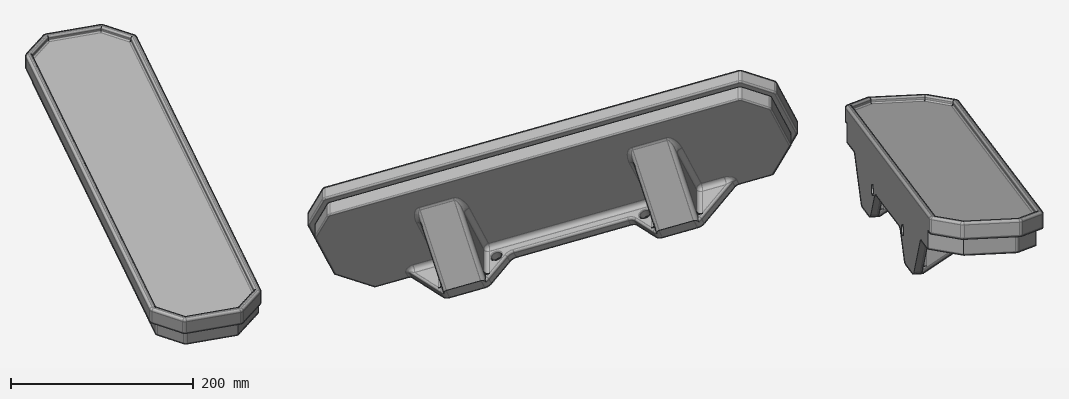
import cadquery as cq
import math

LENGTH = 550.0
WIDTH = 126.5
SLAB_HEIGHT = 20.0
SLAB_CORNER_CUT = 30.0
CORNER_RADIUS = 5.5
RIM_FILLET = 3.0
SLAB_UNDERSIDE_FILLET = 2.0

RIM_WIDTH = 5.0
RECESS_DEPTH = 6.0
RECESS_LIP_FILLET = 2.0
RECESS_FLOOR_FILLET = 1.5

BODY_INSET = 7.0
BODY_BOTTOM = 39.5
BODY_UNDERSIDE_FILLET = 1.5

HEIGHT = 90.0
PLATE_THICKNESS = 10.0
PLATE_BRIDGE_BOTTOM = 56.0
PLATE_FOOT_HALF_WIDTH = 25.5
PLATE_SIDE_RUN = 0.81
PLATE_CORNER_RADIUS = 10.0
PLATE_EDGE_FILLET = 3.0
RIB_SPACING = 249.5
RIB_WIDTH = 50.0
RIB_FOOT_DEPTH = 11.5
RIB_TOP_DEPTH = 92.5
RIB_FILLET = 5.0
JOINT_FILLET = 5.0
UNDER_FILLET = 6.0

HOLE_DIAMETER = 12.0
HOLE_MOUTH_FILLET = 1.0
HOLE_SPACING = 174.5
HOLE_DROP = 55.5

BACK = WIDTH / 2
FRONT = -WIDTH / 2
RIB_CENTRES = (-RIB_SPACING / 2, RIB_SPACING / 2)
OVERLAP = 5.5
BRACKET_TOP = OVERLAP - BODY_BOTTOM
JOINT_FOOT = -81.0
MARGIN = 0.05


def octagon(inset, bottom, height, back_inset=None):
    """Prism with 45-degree cut corners, offset inward from the slab outline."""
    back_inset = inset if back_inset is None else back_inset
    end = LENGTH / 2 - inset
    front = FRONT + inset
    back = BACK - back_inset
    diagonal = LENGTH / 2 + WIDTH / 2 - SLAB_CORNER_CUT - inset * math.sqrt(2)
    outline = [
        (-diagonal - front, front),
        (diagonal + front, front),
        (end, end - diagonal),
        (end, diagonal - end),
        (diagonal - back, back),
        (back - diagonal, back),
        (-end, diagonal - end),
        (-end, end - diagonal),
    ]
    return cq.Workplane("XY").workplane(offset=bottom).polyline(outline).close().extrude(height)


def make_slab():
    """Upper slab with rounded edges and a shallow tray recess."""
    slab = octagon(0, -SLAB_HEIGHT, SLAB_HEIGHT)
    slab = slab.edges("|Z").fillet(CORNER_RADIUS)
    slab = slab.faces(">Z").edges().fillet(RIM_FILLET)
    slab = slab.faces("<Z").edges().fillet(SLAB_UNDERSIDE_FILLET)
    recess = octagon(RIM_WIDTH + RECESS_LIP_FILLET, -RECESS_DEPTH, RECESS_DEPTH)
    recess = recess.faces("<Z").edges().fillet(RECESS_FLOOR_FILLET)
    slab = slab.cut(recess)
    inside_rim = cq.selectors.BoxSelector(
        (RIM_WIDTH - LENGTH / 2, FRONT + RIM_WIDTH, -MARGIN),
        (LENGTH / 2 - RIM_WIDTH, BACK - RIM_WIDTH, MARGIN),
        boundingbox=True,
    )
    return slab.edges(inside_rim).fillet(RECESS_LIP_FILLET)


def make_body():
    """Lower body, reaching up far enough to close the gap left by the slab's underside fillet."""
    top = SLAB_UNDERSIDE_FILLET - SLAB_HEIGHT
    body = octagon(BODY_INSET, -BODY_BOTTOM, BODY_BOTTOM + top, back_inset=0)
    front_half = cq.selectors.BoxSelector((-LENGTH, -WIDTH, -HEIGHT), (LENGTH, 0, 0))
    body = body.edges("|Z").edges(front_half).fillet(CORNER_RADIUS)
    return body.faces("<Z").edges("not >Y").fillet(BODY_UNDERSIDE_FILLET)


def make_plate_outline(depth):
    """Back plate outline with rounded corners, extruded forward from the back by depth."""
    foot_outer = RIB_SPACING / 2 + PLATE_FOOT_HALF_WIDTH
    foot_inner = RIB_SPACING / 2 - PLATE_FOOT_HALF_WIDTH
    top_outer = foot_outer + PLATE_SIDE_RUN * (HEIGHT + BRACKET_TOP)
    bridge_end = foot_inner - PLATE_SIDE_RUN * (HEIGHT - PLATE_BRIDGE_BOTTOM)
    right_side = [
        (bridge_end, -PLATE_BRIDGE_BOTTOM),
        (foot_inner, -HEIGHT),
        (foot_outer, -HEIGHT),
        (top_outer, BRACKET_TOP),
    ]
    left_side = [(-x, z) for x, z in reversed(right_side)]
    outline = cq.Workplane("XZ", origin=(0, BACK, 0)).polyline(left_side + right_side).close()
    return outline.extrude(depth).edges("|Y").edges("not >Z").fillet(PLATE_CORNER_RADIUS)


def make_plate():
    """Back plate with rounded front edges."""
    plate = make_plate_outline(PLATE_THICKNESS)
    return plate.faces("<Y").edges("not >Z").fillet(PLATE_EDGE_FILLET)


def make_rib(centre):
    """Triangular rib with rounded sloping edges."""
    run = (RIB_TOP_DEPTH - RIB_FOOT_DEPTH) / (HEIGHT - BODY_BOTTOM)
    profile = [
        (BACK, -HEIGHT),
        (BACK - RIB_FOOT_DEPTH, -HEIGHT),
        (BACK - RIB_TOP_DEPTH - run * OVERLAP, BRACKET_TOP),
        (BACK, BRACKET_TOP),
    ]
    rib = cq.Workplane("YZ", origin=(centre, 0, 0)).polyline(profile).close()
    rib = rib.extrude(RIB_WIDTH / 2, both=True)
    return rib.faces("<Y").edges("not |X").fillet(RIB_FILLET)


def make_joint(centre, side):
    """Concave fillet between the back plate and one side of a rib."""
    plate_front = BACK - PLATE_THICKNESS
    rib_side = centre + side * RIB_WIDTH / 2
    plate_middle = BACK - PLATE_THICKNESS / 2
    crest = plate_front - JOINT_FILLET
    toe = rib_side + side * JOINT_FILLET
    middle = JOINT_FILLET * (1 - math.sqrt(0.5))
    joint = (
        cq.Workplane("XY", origin=(0, 0, JOINT_FOOT))
        .moveTo(toe, plate_front)
        .threePointArc((rib_side + side * middle, plate_front - middle), (rib_side, crest))
        .lineTo(centre, crest)
        .lineTo(centre, plate_middle)
        .lineTo(toe, plate_middle)
        .close()
    )
    return joint.extrude(BRACKET_TOP - JOINT_FOOT)


def make_bracket():
    """Back plate and ribs, with the ribs trimmed to the plate outline."""
    bracket = make_plate()
    for centre in RIB_CENTRES:
        rib = make_rib(centre)
        for side in (-1, 1):
            rib = rib.union(make_joint(centre, side))
        bracket = bracket.union(rib.intersect(make_plate_outline(WIDTH)))
    return bracket


def blend_under_body(part):
    """Fillet the inside corner where the bracket meets the underside of the body."""
    plate_side = RIB_SPACING / 2 + PLATE_FOOT_HALF_WIDTH + PLATE_SIDE_RUN * (HEIGHT - BODY_BOTTOM)
    corner = cq.selectors.BoxSelector(
        (-plate_side - MARGIN, BACK - RIB_TOP_DEPTH - MARGIN, -BODY_BOTTOM - MARGIN),
        (plate_side + MARGIN, BACK - MARGIN, MARGIN - BODY_BOTTOM),
    )
    return part.edges(corner).fillet(UNDER_FILLET)


def drill_mounting_holes(part):
    """Through holes in the back plate with rounded mouths on the front."""
    plate_front = BACK - PLATE_THICKNESS
    positions = [(-HOLE_SPACING / 2, -HOLE_DROP), (HOLE_SPACING / 2, -HOLE_DROP)]
    holes = cq.Workplane("XZ", origin=(0, BACK, 0)).pushPoints(positions)
    part = part.cut(holes.circle(HOLE_DIAMETER / 2).extrude(PLATE_THICKNESS))
    for x, z in positions:
        mouth = cq.selectors.BoxSelector(
            (x - HOLE_DIAMETER, plate_front - MARGIN, z - HOLE_DIAMETER),
            (x + HOLE_DIAMETER, plate_front + MARGIN, z + HOLE_DIAMETER),
        )
        part = part.edges("%CIRCLE").edges(mouth).fillet(HOLE_MOUTH_FILLET)
    return part


lower = blend_under_body(make_body().union(make_bracket()))
lower = drill_mounting_holes(lower)
result = make_slab().union(lower)